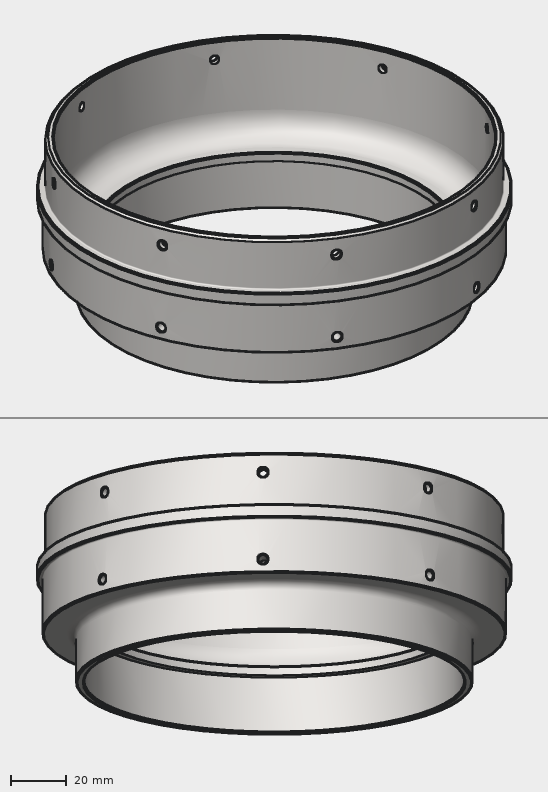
import cadquery as cq
import math

total_height = 63.0
shoulder_z = 18.0
lip_bottom_z = 20.5
floor_z = 24.0
collar_bottom_z = 38.0
collar_top_z = 43.0

spigot_diameter = 142.0
lower_body_diameter = 166.0
collar_diameter = 170.0
upper_body_diameter = 164.0

spigot_bore_diameter = 136.0
lip_bore_diameter = 130.0
upper_bore_diameter = 158.0

bowl_radius = 10.0
shoulder_fillet = 3.0
collar_root_fillet = 0.5
rim_chamfer = 1.0
edge_chamfer = 0.5

hole_count = 8
hole_diameter = 3.3
countersink_diameter = 4.0
drill_point_angle = 118.0
upper_hole_z = 55.5
lower_hole_z = 23.0
lower_hole_depth = 8.0
upper_hole_depth = (upper_body_diameter - upper_bore_diameter) / 2 + hole_diameter


def revolve_about_z(profile):
    """Turn a closed radius-height profile about the part axis."""
    return profile.close().revolve(360, (0, 0, 0), (0, 1, 0))


def outer_form():
    """Stepped solid outside: spigot, lower body, collar and upper body."""
    spigot_radius = spigot_diameter / 2
    lower_radius = lower_body_diameter / 2
    collar_radius = collar_diameter / 2
    upper_radius = upper_body_diameter / 2
    root = collar_root_fillet

    profile = (
        cq.Workplane("XZ")
        .lineTo(spigot_radius - edge_chamfer, 0)
        .lineTo(spigot_radius, edge_chamfer)
        .lineTo(spigot_radius, shoulder_z - shoulder_fillet)
        .radiusArc((spigot_radius + shoulder_fillet, shoulder_z), shoulder_fillet)
        .lineTo(lower_radius - edge_chamfer, shoulder_z)
        .lineTo(lower_radius, shoulder_z + edge_chamfer)
        .lineTo(lower_radius, collar_bottom_z - root)
        .radiusArc((lower_radius + root, collar_bottom_z), root)
        .lineTo(collar_radius - edge_chamfer, collar_bottom_z)
        .lineTo(collar_radius, collar_bottom_z + edge_chamfer)
        .lineTo(collar_radius, collar_top_z - edge_chamfer)
        .lineTo(collar_radius - edge_chamfer, collar_top_z)
        .lineTo(upper_radius + root, collar_top_z)
        .radiusArc((upper_radius, collar_top_z + root), root)
        .lineTo(upper_radius, total_height - rim_chamfer)
        .lineTo(upper_radius - rim_chamfer, total_height)
        .lineTo(0, total_height)
    )
    return revolve_about_z(profile)


def inner_space():
    """Bores: chamfered spigot bore, lip opening, and upper bore with a rounded floor."""
    spigot_radius = spigot_bore_diameter / 2
    lip_radius = lip_bore_diameter / 2
    upper_radius = upper_bore_diameter / 2

    profile = (
        cq.Workplane("XZ")
        .lineTo(spigot_radius + edge_chamfer, 0)
        .lineTo(spigot_radius, edge_chamfer)
        .lineTo(spigot_radius, lip_bottom_z)
        .lineTo(lip_radius, lip_bottom_z)
        .lineTo(lip_radius, floor_z - edge_chamfer)
        .lineTo(lip_radius + edge_chamfer, floor_z)
        .lineTo(upper_radius - bowl_radius, floor_z)
        .radiusArc((upper_radius, floor_z + bowl_radius), -bowl_radius)
        .lineTo(upper_radius, total_height - edge_chamfer)
        .lineTo(upper_radius + edge_chamfer, total_height)
        .lineTo(0, total_height)
    )
    return revolve_about_z(profile)


def radial_drills(height, wall_diameter, depth):
    """Evenly spaced drills with a countersink at the wall and a conical point at full depth."""
    wall_radius = wall_diameter / 2
    drill_radius = hole_diameter / 2
    countersink_radius = countersink_diameter / 2
    countersink_depth = countersink_radius - drill_radius
    outside_radius = collar_diameter / 2
    point_length = drill_radius / math.tan(math.radians(drill_point_angle / 2))

    drill = (
        cq.Workplane("XZ")
        .moveTo(wall_radius - depth - point_length, height)
        .lineTo(wall_radius - depth, height + drill_radius)
        .lineTo(wall_radius - countersink_depth, height + drill_radius)
        .lineTo(wall_radius, height + countersink_radius)
        .lineTo(outside_radius, height + countersink_radius)
        .lineTo(outside_radius, height)
        .close()
        .revolve(360, (0, height, 0), (1, height, 0))
    )
    drills = cq.Workplane("XY")
    for index in range(hole_count):
        drills = drills.add(drill.rotate((0, 0, 0), (0, 0, 1), index * 360 / hole_count))
    return drills.combine()


result = outer_form().cut(inner_space())
result = result.cut(radial_drills(upper_hole_z, upper_body_diameter, upper_hole_depth))
result = result.cut(radial_drills(lower_hole_z, lower_body_diameter, lower_hole_depth))